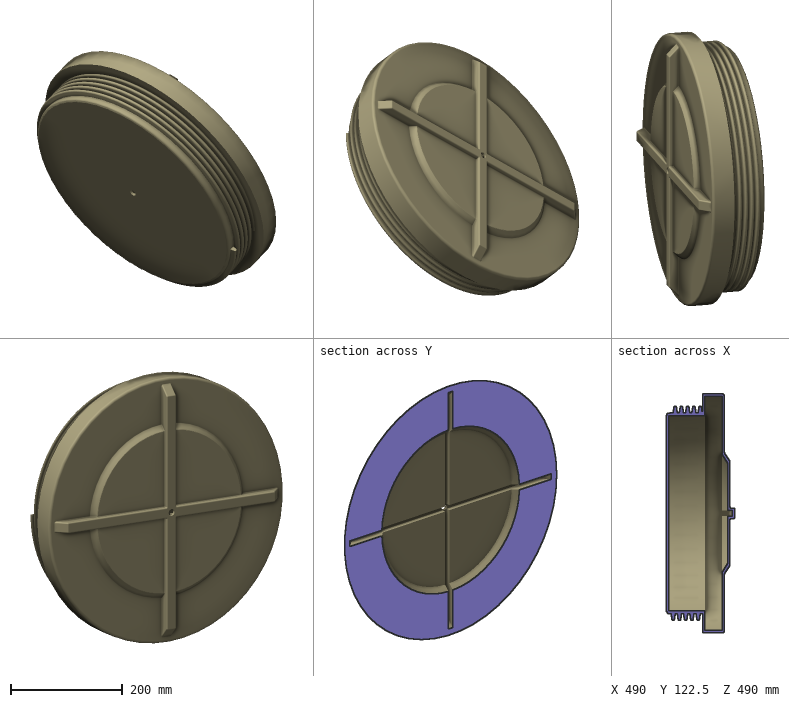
import cadquery as cq
import math

wall = 5.0

flange_radius = 245.0
flange_thickness = 40.0
flange_edge_fillet = 5.0

body_radius = 215.5
body_length = 64.5
body_edge_fillet = 5.0

hole_diameter = 12.2

thread_radius = 225.5
thread_turns = 5
thread_length = 56.0
thread_pitch = thread_length / thread_turns
thread_root_width = 9.0
thread_crest_width = 6.0
thread_crest_rise = 3.0
thread_overlap = 1.5

boss_height = 10.0
boss_base_radius = 160.0
rib_height = 18.0
rib_width = 19.5
rib_half_length = 233.5
rib_edge_fillet = 2.5
joint_fillet = 1.5

slope_inset = wall * (math.sqrt(2) - 1)

tolerance = 0.05


def make_disc(radius, y_start, y_end):
    """Cylinder about the Y axis between two positions."""
    return cq.Workplane("XZ", origin=(0, y_start, 0)).circle(radius).extrude(y_start - y_end)


def make_boss(base_radius, y_base):
    """Low disc with a 45 degree conical side."""
    profile = [
        (0, y_base),
        (base_radius, y_base),
        (base_radius - boss_height, y_base + boss_height),
        (0, y_base + boss_height),
    ]
    return cq.Workplane("XY").polyline(profile).close().revolve(360, (0, 0), (0, 1))


def make_cross(half_length, width, y_base):
    """Two equal ribs crossing at right angles, along X and along Z."""
    top_half_length = half_length - rib_height
    outline = [
        (-half_length, y_base),
        (half_length, y_base),
        (top_half_length, y_base + rib_height),
        (-top_half_length, y_base + rib_height),
    ]
    rib = cq.Workplane("XY").polyline(outline).close().extrude(width / 2, both=True)
    return rib.union(rib.rotate((0, 0, 0), (0, 1, 0), 90))


def is_joint_edge(edge):
    """True for edges at the foot of the boss and ribs, where they meet, and on the boss rim."""
    center = edge.Center()
    height = center.y - flange_thickness
    near_boss = math.hypot(center.x, center.z) < boss_base_radius + tolerance
    at_foot = abs(height) < tolerance
    on_boss = near_boss and 0 < height < boss_height + tolerance
    return not edge.IsClosed() and (at_foot or on_boss)


def make_flange():
    """Flange with the boss and the rounded rib cross on its back."""
    cross = make_cross(rib_half_length, rib_width, flange_thickness)
    cross = cross.edges("|Y").fillet(joint_fillet)
    cross = cross.edges("(not (|X or |Y or |Z or <Y)) or >Y").fillet(rib_edge_fillet)

    disc = make_disc(flange_radius, 0, flange_thickness)
    disc = disc.faces(">Y").edges().fillet(flange_edge_fillet)
    flange = disc.union(cross).union(make_boss(boss_base_radius, flange_thickness))
    joints = [edge for edge in flange.edges().vals() if is_joint_edge(edge)]
    return flange.newObject(joints).fillet(joint_fillet)


def make_body():
    """Round body that carries the thread."""
    body = make_disc(body_radius, -body_length, 0)
    return body.faces("<Y").edges().fillet(body_edge_fillet)


def make_thread():
    """Right-handed helical ridge with a rounded crest, running from the flange towards -Y."""
    root_radius = body_radius - thread_overlap
    shoulder_radius = thread_radius - thread_crest_rise
    helix = cq.Wire.makeHelix(thread_pitch, thread_length, root_radius)
    ridge = (
        cq.Workplane("XZ")
        .moveTo(root_radius, -thread_root_width / 2)
        .lineTo(shoulder_radius, -thread_crest_width / 2)
        .threePointArc((thread_radius, 0), (shoulder_radius, thread_crest_width / 2))
        .lineTo(root_radius, thread_root_width / 2)
        .close()
        .sweep(cq.Workplane(helix), isFrenet=True)
    )
    return ridge.rotate((0, 0, 0), (1, 0, 0), 90)


def make_cavity():
    """Inner space that follows the outside at a distance of one wall."""
    y_base = flange_thickness - wall
    cavity = make_disc(body_radius - wall, wall - body_length, y_base)
    cavity = cavity.union(make_disc(flange_radius - wall, wall, y_base))
    cavity = cavity.union(make_boss(boss_base_radius - slope_inset, y_base))
    return cavity.union(make_cross(rib_half_length - slope_inset, rib_width - 2 * wall, y_base))


hole = make_disc(hole_diameter / 2, -body_length, flange_thickness + rib_height)

result = make_flange().union(make_body()).cut(make_cavity()).union(make_thread()).cut(hole)